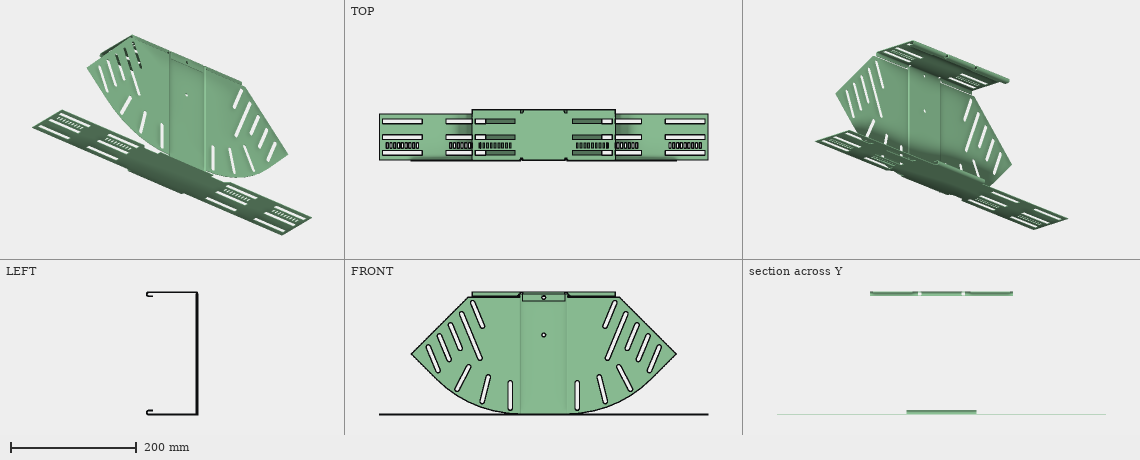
import cadquery as cq
import math

sheet = 1.0
length = 522.0
height = 195.0
depth = 82.0
bend_radius = 2.0

flap_front = sheet
panel_front = flap_front + sheet
panel_back = panel_front + sheet
wing_mid = sheet / 2
panel_mid = panel_front + sheet / 2

roll_radius = 3.5
roll_tip_y = 72.0
roll_centre_y = depth - roll_radius

panel_half = 36.0
joggle_run = 2.0
wing_start = panel_half + joggle_run
wing_top = 187.0
wing_bottom = 1.5
wing_tip_half = 210.5
wing_arc_radius = 186.5
wing_arc_x = wing_start
wing_arc_z = wing_bottom + wing_arc_radius
arc_end = -45.0
tangent_x = wing_arc_x + wing_arc_radius * math.cos(math.radians(arc_end))
tangent_z = wing_arc_z + wing_arc_radius * math.sin(math.radians(arc_end))
wing_tip_z = tangent_z + (wing_tip_half - tangent_x)
wing_top_half = wing_tip_half - (wing_top - wing_tip_z)

slot_width = 7.0
slot_length = 47.0
long_slot_length = 83.0
fan_tilt = 22.5
fan_top_x, fan_top_z = 113.0, 178.0
fan_span = 70.5
fan_lengths = (slot_length, long_slot_length, slot_length, slot_length, slot_length)
fan_pitch = fan_span / (len(fan_lengths) - 1)
edge_slots = ((53.0, 31.0, 0.0), (93.0, 40.5, -14.0), (128.5, 58.5, -27.5))

screw_diameter = 6.0
upper_screw_z = 186.5
lower_screw_z = 127.0

base_back = 75.0
base_front = 1.5
base_roll_half = 55.5
notch_outer = 89.5
notch_depth = 7.0

bracket_half = 114.0
flap_half = 33.5
flap_bottom = 180.5
skirt_start = 38.5
skirt_bottom = 188.0
skirt_chamfer = 4.0
relief_inner = flap_half
relief_outer = 37.0
relief_depth = 5.0
relief_flare = 2.0

panel_top = skirt_bottom + skirt_chamfer

group_length = 62.5
group_inset = 5.0
group_pitch = 101.0
row_width = 7.5
row_centres = (63.0, 38.0, 13.0)
perforation_count = 9
perforation_span = 48.0
perforation_pitch = perforation_span / (perforation_count - 1)
perforation_width = 3.0
perforation_length = 8.5
perforation_y = 25.0


def block(x0, x1, y0, y1, z0, z1):
    return cq.Workplane("XY").box(x1 - x0, y1 - y0, z1 - z0, centered=False).translate((x0, y0, z0))


def both_sides(shape):
    """The shape together with its mirror image across the X = 0 plane."""
    return shape.union(shape.mirror("YZ"))


def top_roll(half):
    """Rolled rear edge under a sheet whose top is at the full height."""
    inner = roll_radius - sheet
    centre_z = height - roll_radius
    profile = (
        cq.Workplane("YZ")
        .moveTo(roll_centre_y, height)
        .threePointArc((depth, centre_z), (roll_centre_y, centre_z - roll_radius))
        .lineTo(roll_tip_y, centre_z - roll_radius)
        .lineTo(roll_tip_y, centre_z - inner)
        .lineTo(roll_centre_y, centre_z - inner)
        .threePointArc((roll_centre_y + inner, centre_z), (roll_centre_y, centre_z + inner))
        .close()
    )
    return profile.extrude(half, both=True)


def base_roll(half):
    """The same rolled edge turned over, above a sheet lying on Z = 0."""
    return top_roll(half).mirror("XY").translate((0, 0, height))


def folded_angle(half, front, back, lower):
    """Top sheet folded down at the front into a leg that ends at height lower."""
    solid = block(-half, half, front, back, lower, height)
    solid = solid.edges("|X and >Z and <Y").fillet(bend_radius)
    hollow = block(-half, half, front + sheet, back, lower, height - sheet)
    hollow = hollow.edges("|X and >Z and <Y").fillet(bend_radius - sheet)
    return solid.cut(hollow)


def slot_group(centre_x):
    """Three long slots and a row of perforations, as one tall cutter."""
    rows = (
        cq.Workplane("XY")
        .pushPoints([(centre_x, y) for y in row_centres])
        .rect(group_length, row_width)
        .extrude(height)
    )
    first = centre_x - perforation_pitch * (perforation_count - 1) / 2
    perforations = (
        cq.Workplane("XY")
        .pushPoints([(first + i * perforation_pitch, perforation_y) for i in range(perforation_count)])
        .rect(perforation_width, perforation_length)
        .extrude(height)
    )
    return rows.union(perforations)


def wing_slot(x, z, tilt, total):
    """Round-ended slot cutter; a positive tilt leans its top outward."""
    cutter = (
        cq.Workplane("XZ").slot2D(total, slot_width, 90).extrude(-depth / 2)
        .translate((0, -depth / 4, 0))
    )
    return cutter.rotate((0, 0, 0), (0, 1, 0), tilt).translate((x, 0, z))


def screw_hole(z):
    return cq.Workplane("XZ").center(0, z).circle(screw_diameter / 2).extrude(-depth / 2)


def arc_point(centre, radius, degrees):
    """Point on a circle, with the angle measured from the first plane axis."""
    angle = math.radians(degrees)
    return (centre[0] + radius * math.cos(angle), centre[1] + radius * math.sin(angle))


def stepped_sheet():
    """Half of the web seen along Z: flat panel, S-shaped step, flat wing."""
    rise = panel_mid - wing_mid
    middle_radius = (joggle_run ** 2 + rise ** 2) / (4 * rise)
    turn = 2 * math.degrees(math.atan2(rise, joggle_run))
    small = middle_radius - sheet / 2
    large = middle_radius + sheet / 2
    panel_bend = (panel_half, panel_mid - middle_radius)
    wing_bend = (wing_start, wing_mid + middle_radius)
    return (
        cq.Workplane("XY")
        .moveTo(0, panel_front)
        .lineTo(panel_half, panel_front)
        .threePointArc(arc_point(panel_bend, small, 90 - turn / 2), arc_point(panel_bend, small, 90 - turn))
        .threePointArc(arc_point(wing_bend, large, 270 - turn / 2), (wing_start, 0))
        .lineTo(wing_tip_half, 0)
        .lineTo(wing_tip_half, sheet)
        .lineTo(wing_start, sheet)
        .threePointArc(arc_point(wing_bend, small, 270 - turn / 2), arc_point(wing_bend, small, 270 - turn))
        .threePointArc(arc_point(panel_bend, large, 90 - turn / 2), (panel_half, panel_back))
        .lineTo(0, panel_back)
        .close()
        .extrude(panel_top)
    )


def make_web():
    """Stepped sheet: set-back centre panel and two curved wings."""
    arc_centre = (wing_arc_x, wing_arc_z)
    arc_middle = arc_point(arc_centre, wing_arc_radius, (arc_end - 90) / 2)
    outline = (
        cq.Workplane("XZ")
        .moveTo(0, 0)
        .lineTo(wing_start, 0)
        .lineTo(wing_start, wing_bottom)
        .threePointArc(arc_middle, (tangent_x, tangent_z))
        .lineTo(wing_tip_half, wing_tip_z)
        .lineTo(wing_top_half, wing_top)
        .lineTo(wing_start, wing_top)
        .lineTo(wing_start, panel_top)
        .lineTo(0, panel_top)
        .close()
        .extrude(-depth)
    )
    web = stepped_sheet().intersect(outline)
    for x, z, tilt in edge_slots:
        web = web.cut(wing_slot(x, z, tilt, slot_length))
    for step, total in enumerate(fan_lengths):
        reach = (total - slot_width) / 2
        x = fan_top_x + step * fan_pitch - reach * math.sin(math.radians(fan_tilt))
        z = fan_top_z - step * fan_pitch - reach * math.cos(math.radians(fan_tilt))
        web = web.cut(wing_slot(x, z, fan_tilt, total))
    web = both_sides(web)
    return web.cut(screw_hole(upper_screw_z)).cut(screw_hole(lower_screw_z))


def make_base():
    """Slotted base strip with a rolled edge at the middle of its back."""
    strip = block(-length / 2, length / 2, base_front, base_back, 0, sheet)
    middle = block(-base_roll_half, base_roll_half, base_front, roll_centre_y, 0, sheet)
    notch = (
        cq.Workplane("XY")
        .moveTo(base_roll_half, base_front)
        .lineTo(notch_outer, base_front)
        .lineTo(notch_outer - notch_depth, base_front + notch_depth)
        .lineTo(base_roll_half, base_front + notch_depth)
        .close()
        .extrude(sheet)
    )
    strip = strip.cut(both_sides(notch))
    outer_group = length / 2 - group_inset - group_length / 2
    for centre_x in (outer_group, outer_group - group_pitch):
        strip = strip.cut(both_sides(slot_group(centre_x)))
    return strip.union(middle).union(base_roll(base_roll_half))


def make_bracket():
    """Top sheet with a rolled back edge, a screw flap and two front skirts."""
    bracket = folded_angle(bracket_half, flap_front, roll_centre_y, flap_bottom)
    bracket = bracket.union(top_roll(bracket_half))

    below_skirt = (
        cq.Workplane("XZ")
        .moveTo(flap_half, flap_bottom)
        .lineTo(bracket_half, flap_bottom)
        .lineTo(bracket_half, skirt_bottom)
        .lineTo(skirt_start + skirt_chamfer, skirt_bottom)
        .lineTo(skirt_start, panel_top)
        .lineTo(flap_half, panel_top)
        .close()
        .extrude(-panel_front)
    )
    front_relief = block(relief_inner, relief_outer, 0, relief_depth, flap_bottom, height)
    relief_base = depth - relief_depth
    rear_relief = (
        cq.Workplane("XY")
        .moveTo(relief_inner, relief_base)
        .lineTo(relief_outer, relief_base)
        .lineTo(relief_outer, depth)
        .lineTo(relief_inner - relief_flare, depth)
        .close()
        .extrude(height)
    )
    slots = slot_group(bracket_half - group_inset - group_length / 2)
    for cutter in (below_skirt, front_relief, rear_relief, slots):
        bracket = bracket.cut(both_sides(cutter))
    return bracket.cut(screw_hole(upper_screw_z))


wing_plate = make_web().union(make_base())
top_bracket = make_bracket()

result = cq.Compound.makeCompound([wing_plate.val(), top_bracket.val()])